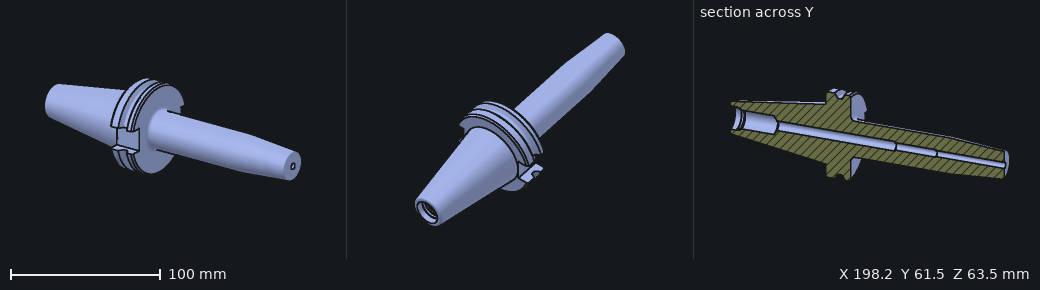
import cadquery as cq
import math

total_length = 198.2
gauge_position = 68.4
flange_start = 68.8
flange_end = 87.5
nose_start = 159.4

gauge_diameter = 44.5
taper_rate = 7 / 24
shank_end_diameter = gauge_diameter - taper_rate * gauge_position
shank_end_fillet = 1.8

flange_diameter = 63.5
flange_chamfer = 1.2

groove_center = 79.3
groove_floor_diameter = 56.3
groove_mouth_width = 7.1
groove_wall_angle = 30
groove_fillet = 0.8

slot_width = 16.0
slot_floor_plus_y = 24.8
slot_floor_minus_y = 22.6

neck_diameter = 27.0
neck_fillet = 3.0
nose_tip_diameter = 21.0
nose_blend_setback = 2.2
nose_tip_fillet = 0.8

mouth_diameter = 17.5
mouth_chamfer_depth = 1.0
counterbore_diameter = 16.9
counterbore_depth = 5.0
thread_diameter = 15.9
thread_depth = 7.1
lead_in_diameter = 14.7
lead_in_end = 8.3
core_diameter = 13.5
core_depth = 31.7
drill_tip_angle = 59

passage_diameter = 6.7
passage_end = 119.0
throttle_diameter = 5.2
throttle_end = 148.7
outlet_diameter = 4.2


def revolve_about_x(points):
    """Revolve a closed outline of (x, radius) points about the X axis."""
    return cq.Workplane("XY").polyline(points).close().revolve(360, (0, 0, 0), (1, 0, 0))


def x_cylinder(diameter, start, end):
    return cq.Workplane("YZ", origin=(start, 0, 0)).circle(diameter / 2).extrude(end - start)


def make_shank():
    shank = revolve_about_x([
        (0, 0),
        (0, shank_end_diameter / 2),
        (gauge_position, gauge_diameter / 2),
        (flange_start, gauge_diameter / 2),
        (flange_start, 0),
    ])
    return shank.faces("<X").edges().fillet(shank_end_fillet)


def make_groove_cutter():
    mouth_radius = flange_diameter / 2
    floor_radius = groove_floor_diameter / 2
    mouth_half = groove_mouth_width / 2
    wall_run = (mouth_radius - floor_radius) * math.tan(math.radians(groove_wall_angle))
    floor_half = mouth_half - wall_run
    cutter = revolve_about_x([
        (groove_center - mouth_half, mouth_radius),
        (groove_center - floor_half, floor_radius),
        (groove_center + floor_half, floor_radius),
        (groove_center + mouth_half, mouth_radius),
    ])
    floor_edges = cq.selectors.RadiusNthSelector(0)
    return cutter.edges(floor_edges).fillet(groove_fillet)


def make_drive_slot(floor_distance, side):
    """Slot open outwards along Y; side is +1 or -1."""
    slot_depth = flange_diameter / 2
    center_y = side * (floor_distance + slot_depth / 2)
    length = flange_end - flange_start
    center_x = (flange_start + flange_end) / 2
    return cq.Workplane("XY").box(length, slot_depth, slot_width).translate((center_x, center_y, 0))


def make_flange():
    flange = x_cylinder(flange_diameter, flange_start, flange_end).edges().chamfer(flange_chamfer)
    flange = flange.cut(make_groove_cutter())
    flange = flange.cut(make_drive_slot(slot_floor_plus_y, 1))
    return flange.cut(make_drive_slot(slot_floor_minus_y, -1))


def make_neck_and_nose():
    """Neck with a concave fillet at the flange face, running tangentially into the conical nose."""
    neck_radius = neck_diameter / 2
    tip_radius = nose_tip_diameter / 2
    fillet_bulge = neck_fillet * (1 - math.sqrt(0.5))
    cone_angle = math.atan((neck_radius - tip_radius) / (total_length - nose_start))
    blend_end = (
        nose_start + nose_blend_setback * math.cos(cone_angle),
        neck_radius - nose_blend_setback * math.sin(cone_angle),
    )
    nose = (
        cq.Workplane("XY")
        .moveTo(flange_start, 0)
        .lineTo(flange_start, neck_radius + neck_fillet)
        .lineTo(flange_end, neck_radius + neck_fillet)
        .threePointArc(
            (flange_end + fillet_bulge, neck_radius + fillet_bulge),
            (flange_end + neck_fillet, neck_radius),
        )
        .lineTo(nose_start - nose_blend_setback, neck_radius)
        .tangentArcPoint(blend_end, relative=False)
        .lineTo(total_length, tip_radius)
        .lineTo(total_length, 0)
        .close()
        .revolve(360, (0, 0, 0), (1, 0, 0))
    )
    return nose.faces(">X").edges().fillet(nose_tip_fillet)


def make_bore():
    """Stepped rear bore with a drill point, plus the coolant passage through to the nose tip."""
    core_radius = core_diameter / 2
    passage_radius = passage_diameter / 2
    drill_tip_length = (core_radius - passage_radius) / math.tan(math.radians(drill_tip_angle))
    return revolve_about_x([
        (0, 0),
        (0, mouth_diameter / 2),
        (mouth_chamfer_depth, counterbore_diameter / 2),
        (counterbore_depth, counterbore_diameter / 2),
        (counterbore_depth, thread_diameter / 2),
        (thread_depth, thread_diameter / 2),
        (thread_depth, lead_in_diameter / 2),
        (lead_in_end, core_radius),
        (core_depth, core_radius),
        (core_depth + drill_tip_length, passage_radius),
        (passage_end, passage_radius),
        (passage_end, throttle_diameter / 2),
        (throttle_end, throttle_diameter / 2),
        (throttle_end, outlet_diameter / 2),
        (total_length, outlet_diameter / 2),
        (total_length, 0),
    ])


body = make_shank().union(make_flange()).union(make_neck_and_nose())
result = body.cut(make_bore())